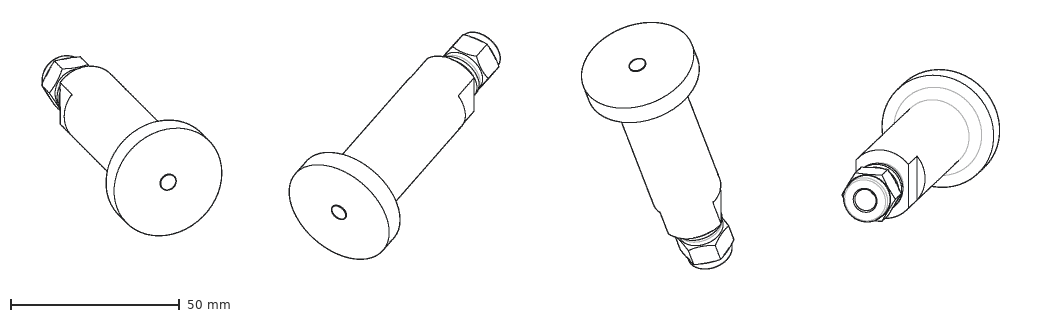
import cadquery as cq
import math


overall_length = 82.44
lip_height = 0.24
lip_diameter = 5.1
flange_diameter = 34.5
flange_thickness = 6.35

barrel_diameter = 21.1
barrel_start = 17.7
barrel_fillet = 3.0
flats_across = 16.2
flats_length = 9.2

nut_length = 12.6
nut_diameter = 13.6
nut_edge_fillet = 0.5
hex_across_flats = 14.29
hex_start = 3.05
hex_end = 10.6
hex_front_face_diameter = 13.9
hex_front_chamfer_length = 0.55
hex_back_chamfer_length = 0.9

groove_diameter = 11.11
collar_diameter = 14.6
collar_start = 13.45
collar_length = 1.3
collar_cone_length = 1.0
neck_diameter = 12.6
neck_root_fillet = 0.25

bore_diameter = 4.83
socket_diameter = 6.55
socket_depth = 15.2
mouth_chamfer = 0.4

flange_face = overall_length - lip_height
flange_back = flange_face - flange_thickness
collar_end = collar_start + collar_length
hex_corner_diameter = hex_across_flats / math.cos(math.radians(30))


def cylinder(diameter, start, end):
    """Cylinder on the X axis between two positions."""
    return cq.Workplane("YZ").workplane(offset=start).circle(diameter / 2).extrude(end - start)


def revolve_about_x(profile):
    """Turn a closed (x, radius) profile about the X axis."""
    return profile.close().revolve(360, (0, 0, 0), (1, 0, 0))


def concave_arc_middle(wall_x, inner_radius, fillet):
    """Middle point (x, radius) of a quarter round between a cylinder and the wall at its +X end."""
    inset = fillet * (1 - math.cos(math.radians(45)))
    return (wall_x - inset, inner_radius + inset)


def make_nut():
    """Round nut sleeve with a hexagon whose corners are turned off at both ends."""
    sleeve = cylinder(nut_diameter, 0, nut_length).edges("%CIRCLE").fillet(nut_edge_fillet)
    hexagon = (
        cq.Workplane("YZ")
        .workplane(offset=hex_start)
        .polygon(6, hex_corner_diameter)
        .extrude(hex_end - hex_start)
    )
    corner_radius = hex_corner_diameter / 2
    turned_envelope = revolve_about_x(
        cq.Workplane("XY")
        .moveTo(hex_start, 0)
        .lineTo(hex_start, hex_front_face_diameter / 2)
        .lineTo(hex_start + hex_front_chamfer_length, corner_radius)
        .lineTo(hex_end - hex_back_chamfer_length, corner_radius)
        .lineTo(hex_end, nut_diameter / 2)
        .lineTo(hex_end, 0)
    )
    return sleeve.union(hexagon.intersect(turned_envelope))


def make_fitting_body():
    """Groove, collar with a conical back, and neck leading into the barrel."""
    root_middle = concave_arc_middle(barrel_start, neck_diameter / 2, neck_root_fillet)
    return revolve_about_x(
        cq.Workplane("XY")
        .moveTo(nut_length, 0)
        .lineTo(nut_length, groove_diameter / 2)
        .lineTo(collar_start, groove_diameter / 2)
        .lineTo(collar_start, collar_diameter / 2)
        .lineTo(collar_end, collar_diameter / 2)
        .lineTo(collar_end + collar_cone_length, neck_diameter / 2)
        .lineTo(barrel_start - neck_root_fillet, neck_diameter / 2)
        .threePointArc(root_middle, (barrel_start, neck_diameter / 2 + neck_root_fillet))
        .lineTo(barrel_start, 0)
    )


def make_barrel_and_flange():
    """Barrel blended into the flange, with a thin lip around the bore on the end face."""
    barrel_radius = barrel_diameter / 2
    blend_middle = concave_arc_middle(flange_back, barrel_radius, barrel_fillet)
    turned = revolve_about_x(
        cq.Workplane("XY")
        .moveTo(barrel_start, 0)
        .lineTo(barrel_start, barrel_radius)
        .lineTo(flange_back - barrel_fillet, barrel_radius)
        .threePointArc(blend_middle, (flange_back, barrel_radius + barrel_fillet))
        .lineTo(flange_back, flange_diameter / 2)
        .lineTo(flange_face, flange_diameter / 2)
        .lineTo(flange_face, lip_diameter / 2)
        .lineTo(overall_length, lip_diameter / 2)
        .lineTo(overall_length, 0)
    )
    for side in (-1, 1):
        flat_cutter = cq.Workplane("XY").box(
            flats_length, barrel_diameter, barrel_diameter, centered=(False, True, True)
        )
        flat_offset = side * (flats_across + barrel_diameter) / 2
        turned = turned.cut(flat_cutter.translate((barrel_start, flat_offset, 0)))
    return turned


def make_bore():
    """Through bore with a wider tube socket and a chamfered mouth."""
    return revolve_about_x(
        cq.Workplane("XY")
        .moveTo(0, 0)
        .lineTo(0, socket_diameter / 2 + mouth_chamfer)
        .lineTo(mouth_chamfer, socket_diameter / 2)
        .lineTo(socket_depth, socket_diameter / 2)
        .lineTo(socket_depth, bore_diameter / 2)
        .lineTo(overall_length, bore_diameter / 2)
        .lineTo(overall_length, 0)
    )


result = (
    make_barrel_and_flange()
    .union(make_fitting_body())
    .union(make_nut())
    .cut(make_bore())
)